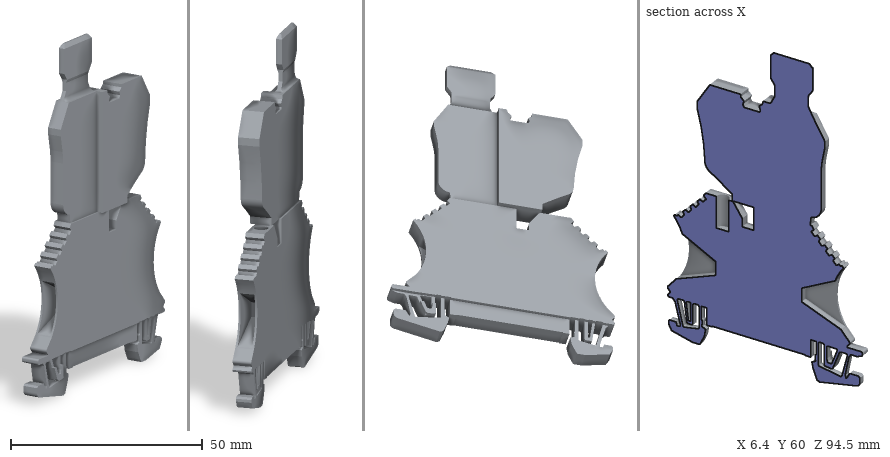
import cadquery as cq
import math


base_thickness = 5.1
foot_thickness = 4.3
plug_near_face = 0.6
plug_step_face = 4.5
plug_far_face = 6.4

total_height = 94.5
base_top = 46.2
foot_level = 11.6
spring_root_z = 11.8
base_bottom = 6.8
plug_top = 79.0

plug_step_y = -3.5

base_half_top = 16.35
rail_half_width = 16.1
waist_half_width = 22.7
shoulder_y, shoulder_z = 28.3, 14.5
shoulder_radius = 0.7
pad_width = 1.8
pad_height = 0.2

notch_count = 4
notch_span = 8.9
notch_pitch = notch_span / notch_count

funnel_near, funnel_far = 0.6, 4.5
funnel_end_y = 13.2
funnel_mouth_y = 30.2

hole_x, hole_y = 2.55, 11.15
hole_diameter = 3.8
hole_depth = 9.45

outer_window_radius = 0.4
front_inner_radius = 0.3
rear_inner_radius = 0.2

ledge_radius = 0.6
toe_y, toe_z = -31.2, 2.5
toe_radius = 1.4

latch_bottom, latch_top = 5.0, 8.9
latch_overlap = 0.5

blade_y = -10.1
blade_x = 2.3
blade_half_width = 6.5
blade_top_half_width = 5.5
neck_half_width = 5.2
blade_half_thickness = 0.85
blade_tip_half_thickness = 0.3
neck_half_thickness = 0.6
blade_bevel = 1.1
neck_top = 83.8
blade_bottom = 84.7
root_radius = 1.0


def slab(points, x_from, x_to):
    """Closed polygon of (y, z) points extruded from x_from to x_to."""
    return cq.Workplane("YZ", origin=(x_from, 0, 0)).polyline(points).close().extrude(x_to - x_from)


def mirrored(points):
    """The same points on the other side of Y = 0, in reverse order."""
    return [(-y, z) for y, z in reversed(points)]


def rounded(solid, y, z, radius):
    """The solid with its X-parallel edge nearest to (y, z) rounded."""
    near_corner = cq.NearestToPointSelector((foot_thickness / 2, y, z))
    return solid.edges("|X").edges(near_corner).fillet(radius)


def window(points, corner_radius):
    """Through cutter for an opening in a foot."""
    return slab(points, 0, base_thickness).edges("|X").fillet(corner_radius)


def base_body():
    """Symmetric block: flat top, ridged shoulders, concave waists and a narrower rail seat."""
    ridges = [(base_half_top, base_top), (17.0, 45.2)]
    for i in range(notch_count):
        shift = i * notch_pitch
        ridges += [
            (16.3 + shift, 44.3 - shift),
            (17.2 + shift, 43.3 - shift),
            (18.05 + shift, 43.85 - shift),
            (19.0 + shift, 42.9 - shift),
        ]
    ridges[-1] = (25.2, 36.7)
    tip = [(25.6, 37.05), (26.2, 36.4)]
    waist_middle = (waist_half_width, 26.3)
    waist_end = (25.6, 17.5)
    lower = [
        waist_end,
        (shoulder_y, shoulder_z),
        (27.2, 13.2),
        (27.2, foot_level),
        (rail_half_width, spring_root_z),
        (rail_half_width, base_bottom - pad_height),
        (rail_half_width - pad_width, base_bottom - pad_height),
        (rail_half_width - pad_width, base_bottom),
    ]
    profile = cq.Workplane("YZ").polyline(ridges + tip).threePointArc(waist_middle, waist_end)
    for point in lower[1:] + mirrored(lower):
        profile = profile.lineTo(*point)
    opposite_tip = mirrored(tip)
    profile = profile.threePointArc((-waist_middle[0], waist_middle[1]), opposite_tip[0])
    for point in opposite_tip[1:] + mirrored(ridges):
        profile = profile.lineTo(*point)
    body = profile.close().extrude(base_thickness)
    for side in (-1, 1):
        body = rounded(body, side * shoulder_y, shoulder_z, shoulder_radius)
    return body


def base_slot():
    """Opening with one slanted wall, cut down from the top of the base."""
    section = [(7.8, base_top), (5.0, 42.0), (5.0, 39.5), (1.6, 39.5), (1.6, base_top)]
    return slab(section, 0, base_thickness)


def wire_funnel(side):
    """Tapering wire entry in one waist; side is +1 or -1 along Y."""
    section = [
        (25.7, 17.7),
        (funnel_end_y, 22.5),
        (funnel_end_y, 26.5),
        (24.1, 32.0),
        (funnel_mouth_y, 32.0),
        (funnel_mouth_y, 17.7),
    ]
    return slab([(side * y, z) for y, z in section], funnel_near, funnel_far)


def front_inner_window():
    """Opening inside the V-shaped spring arm of the front foot."""
    corners = [(-21.0, 11.5), (-24.2, 11.4), (-22.4, 6.7), (-21.3, 6.7), (-21.0, 7.75)]
    return window(corners, front_inner_radius)


def front_foot():
    """Sprung foot on the -Y side with its release ledge; returns the solid and its openings."""
    ledge = slab(
        [(-25.5, 13.0), (-31.9, 13.0), (-31.9, 11.7), (-30.2, 11.1), (-25.5, 11.1)],
        0, base_thickness,
    )
    ledge = ledge.edges("|X and <Y").fillet(ledge_radius)
    jaw = slab(
        [
            (-25.5, 13.2), (-28.4, 11.1), (-27.8, 10.2), (-26.65, 4.5), (-26.9, 3.7), (-28.0, 5.5),
            (-30.7, 5.5), (-31.2, 5.0), (toe_y, toe_z), (-18.7, 0.0), (-17.9, 0.4),
            (-16.6, 3.6), (-16.3, 5.4), (-17.4, 6.0), (-17.3, 7.6), (-17.6, 8.0), (-17.6, 13.2),
        ],
        0, foot_thickness,
    )
    jaw = rounded(jaw, toe_y, toe_z, toe_radius)
    outer_window = window(
        [
            (-18.4, 11.9), (-20.0, 11.9), (-20.0, 5.3), (-22.7, 5.0), (-24.95, 10.9),
            (-27.3, 11.0), (-25.4, 3.7), (-18.4, 4.9),
        ],
        outer_window_radius,
    )
    return ledge.union(jaw), outer_window.union(front_inner_window())


def front_latch():
    """Lower part of the front spring arm, thickened to the full width of the block."""
    arm = slab(
        [
            (-20.0, latch_top), (-20.0, 5.3), (-20.6, 5.1),
            (-22.2, latch_bottom), (-22.9, 5.5), (-24.2, latch_top),
        ],
        foot_thickness - latch_overlap, base_thickness,
    )
    return arm.cut(front_inner_window())


def rear_foot():
    """Sprung foot on the +Y side; returns the solid and its openings."""
    lip = slab(
        [(25.5, 13.2), (27.2, 13.2), (28.1, 12.2), (27.8, foot_level), (25.5, foot_level)],
        0, base_thickness,
    )
    jaw = slab(
        [
            (25.5, 13.2), (26.5, 11.5), (25.8, 10.8), (24.2, 4.5), (24.3, 3.9), (25.0, 3.9), (25.3, 4.9),
            (27.4, 4.9), (27.8, 4.35), (27.8, 3.6), (26.8, 1.8), (20.3, 0.2), (18.1, 0.2), (17.7, 0.9),
            (16.6, 3.2), (16.3, 5.4), (17.4, 5.9), (17.3, 7.6), (17.6, 8.0), (17.6, 13.2),
        ],
        0, foot_thickness,
    )
    outer_window = window(
        [
            (25.0, 11.9), (23.0, 11.9), (22.1, 5.4), (20.1, 5.4), (20.1, 11.9), (18.4, 11.9),
            (18.4, 4.9), (23.2, 4.1),
        ],
        outer_window_radius,
    )
    inner_window = window([(22.2, 11.9), (21.0, 11.9), (21.0, 6.4), (21.55, 6.4)], rear_inner_radius)
    return lip.union(jaw), outer_window.union(inner_window)


def base():
    """Complete lower block with feet, funnels, slot and screwdriver hole."""
    front, front_windows = front_foot()
    rear, rear_windows = rear_foot()
    below_full_thickness = cq.Workplane("XY").box(
        base_thickness - foot_thickness, 2 * total_height, foot_level, centered=(False, True, False)
    ).translate((foot_thickness, 0, 0))
    screwdriver_hole = (
        cq.Workplane("XY", origin=(hole_x, hole_y, base_top)).circle(hole_diameter / 2).extrude(-hole_depth)
    )
    body = base_body().union(front).union(rear)
    for cutter in (front_windows, rear_windows, below_full_thickness, base_slot(), screwdriver_hole):
        body = body.cut(cutter)
    for side in (-1, 1):
        body = body.cut(wire_funnel(side))
    return body.union(front_latch())


def plug():
    """Plug housing standing on the base; its thicker +X part covers only the +Y half."""
    housing_profile = (
        cq.Workplane("YZ", origin=(plug_near_face, 0, 0))
        .polyline([(8.2, base_top), (8.2, 48.2), (12.5, 51.2), (15.1, 52.9)])
        .threePointArc((16.2, 54.0), (16.6, 55.5))
        .threePointArc((17.5, 64.1), (19.0, 70.7))
        .lineTo(19.0, 72.8)
        .lineTo(15.0, plug_top)
        .lineTo(5.5, plug_top)
        .lineTo(5.5, 78.2)
        .lineTo(4.4, 77.2)
        .lineTo(4.8, 76.2)
        .lineTo(4.4, 75.4)
        .lineTo(-0.3, 75.4)
        .lineTo(-0.5, 76.0)
        .lineTo(0.0, 77.0)
        .lineTo(-1.0, 78.0)
        .lineTo(-1.3, plug_top)
        .lineTo(-16.6, plug_top)
        .lineTo(-20.4, 72.6)
        .lineTo(-20.4, 70.8)
        .lineTo(-20.2, 69.75)
        .lineTo(-19.6, 66.3)
        .threePointArc((-19.4, 64.7), (-19.3, 63.1))
        .lineTo(-19.3, 51.9)
        .threePointArc((-18.3, 49.6), (-16.2, 48.6))
        .lineTo(-15.9, base_top)
        .close()
    )
    housing = housing_profile.extrude(plug_far_face - plug_near_face)
    relief_height = plug_top - base_top
    relief = cq.Workplane("XY").box(
        plug_far_face - plug_step_face, total_height, relief_height, centered=False
    ).translate((plug_step_face, plug_step_y - total_height, base_top))
    return housing.cut(relief)


def blade():
    """Flat contact blade: its Y-Z outline crossed with its X-Z section."""
    half_outline = [
        (blade_half_width, plug_top),
        (neck_half_width, 81.6),
        (neck_half_width, blade_bottom),
        (blade_half_width, 86.6),
        (blade_half_width, total_height - blade_bevel),
        (blade_top_half_width, total_height),
    ]
    outline = half_outline + mirrored(half_outline)
    plate = slab([(blade_y + y, z) for y, z in outline], 0, base_thickness)

    root_half = neck_half_thickness + root_radius
    arc_middle = root_radius * (1 - math.sqrt(0.5))
    section = (
        cq.Workplane("XZ")
        .moveTo(-root_half, plug_top)
        .threePointArc(
            (-neck_half_thickness - arc_middle, plug_top + arc_middle),
            (-neck_half_thickness, plug_top + root_radius),
        )
        .lineTo(-neck_half_thickness, neck_top)
        .lineTo(-blade_half_thickness, blade_bottom)
        .lineTo(-blade_half_thickness, total_height - blade_bevel)
        .lineTo(-blade_tip_half_thickness, total_height)
        .lineTo(0, total_height)
        .lineTo(0, plug_top)
        .close()
        .extrude(total_height, both=True)
    )
    section = section.union(section.mirror("YZ")).translate((blade_x, 0, 0))
    return plate.intersect(section)


result = base().union(plug()).union(blade())